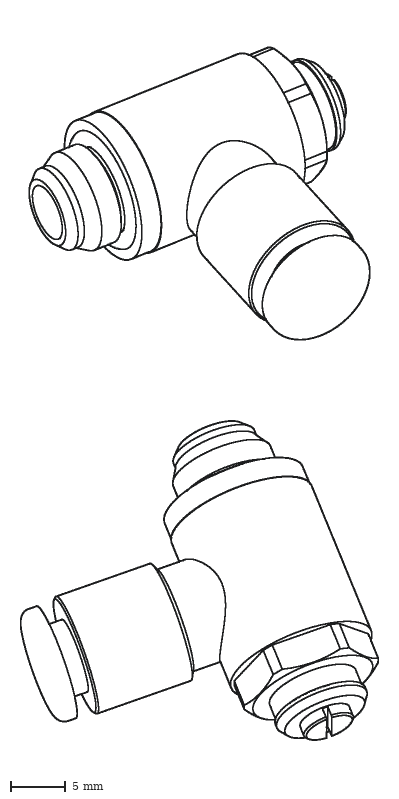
import cadquery as cq
import math


tip_diameter = 6.52
pilot_diameter = 8.1
thread_diameter = 9.73
undercut_diameter = 8.4
pilot_start = 0.85
pilot_end = 1.55
thread_start = 2.95
thread_end = 5.05
undercut_start = 5.4
bore_diameter = 5.3

seal_outer_diameter = 11.8
seal_section_radius = (seal_outer_diameter - undercut_diameter) / 4
seal_bottom = 5.45

base_diameter = 13.8
body_diameter = 14.0
base_start = 6.03
body_start = 8.1
body_end = 23.6
bore_depth = body_start

hex_across_flats = 12.0
hex_corner_diameter = 13.3
hex_top_diameter = 11.87
hex_chamfer_start = 26.2
hex_end = 26.6

cap_diameter = 8.6
collar_diameter = 9.0
collar_top_diameter = 7.9
collar_start = 28.55
collar_chamfer_start = 28.95
collar_end = 29.73
screw_diameter = 4.9
screw_end = 30.9
screw_chamfer = 0.2
slot_width = 0.53
slot_floor = 29.82

branch_y = 15.82
branch_neck_diameter = 10.0
sleeve_diameter = 11.5
sleeve_start = 9.58
sleeve_end = 19.45
sleeve_cone_end = 9.98
sleeve_end_chamfer = 0.2
release_neck_diameter = 7.1
release_diameter = 11.0
release_start = 21.25
overall_width = 30.0
release_end = overall_width - body_diameter / 2
release_round = 1.0


def cylinder_y(diameter, start, end):
    """Cylinder on the main axis between two Y positions."""
    profile = cq.Workplane("XZ", origin=(0, start, 0)).circle(diameter / 2)
    return profile.extrude(start - end)


def cylinder_x(diameter, start, end):
    """Cylinder on the branch axis between two X positions."""
    profile = cq.Workplane("YZ", origin=(start, branch_y, 0)).circle(diameter / 2)
    return profile.extrude(end - start)


def revolve_y(sections):
    """Solid of revolution about Y through (diameter, Y position) pairs."""
    rim = [(diameter / 2, y) for diameter, y in sections]
    outline = [(0, sections[0][1])] + rim + [(0, sections[-1][1])]
    return cq.Workplane("XY").polyline(outline).close().revolve(360, (0, 0), (0, 1))


def make_spigot():
    return revolve_y([
        (tip_diameter, 0),
        (pilot_diameter, pilot_start),
        (pilot_diameter, pilot_end),
        (thread_diameter, thread_start),
        (thread_diameter, thread_end),
        (undercut_diameter, undercut_start),
        (undercut_diameter, body_start),
    ])


def make_seal():
    section_x = seal_outer_diameter / 2 - seal_section_radius
    section_y = seal_bottom + seal_section_radius
    section = cq.Workplane("XY").center(section_x, section_y).circle(seal_section_radius)
    return section.revolve(360, (-section_x, 0), (-section_x, 1))


def make_hexagon():
    corner_to_corner = hex_across_flats / math.cos(math.pi / 6)
    prism = cq.Workplane("XZ", origin=(0, body_end, 0)).polygon(6, corner_to_corner)
    envelope = revolve_y([
        (hex_corner_diameter, body_end),
        (hex_corner_diameter, hex_chamfer_start),
        (hex_top_diameter, hex_end),
    ])
    return prism.extrude(body_end - hex_end).intersect(envelope)


def make_cap():
    return revolve_y([
        (cap_diameter, hex_end),
        (cap_diameter, collar_start),
        (collar_diameter, collar_start),
        (collar_diameter, collar_chamfer_start),
        (collar_top_diameter, collar_end),
    ])


def make_screw():
    screw = cylinder_y(screw_diameter, collar_end, screw_end).faces(">Y").chamfer(screw_chamfer)
    slot_depth = screw_end - slot_floor
    slot = cq.Workplane("XY").box(slot_width, slot_depth, screw_diameter)
    return screw.cut(slot.translate((0, slot_floor + slot_depth / 2, 0)))


def make_branch():
    neck = cylinder_x(branch_neck_diameter, 0, sleeve_start)
    cone = cq.Workplane("YZ", origin=(sleeve_start, branch_y, 0)).circle(branch_neck_diameter / 2)
    cone = cone.workplane(offset=sleeve_cone_end - sleeve_start).circle(sleeve_diameter / 2).loft()
    sleeve = cylinder_x(sleeve_diameter, sleeve_cone_end, sleeve_end)
    sleeve = sleeve.faces(">X").chamfer(sleeve_end_chamfer)
    release_neck = cylinder_x(release_neck_diameter, sleeve_end, release_start)
    release = cylinder_x(release_diameter, release_start, release_end)
    release = release.faces(">X").edges().fillet(release_round)
    return neck.union(cone).union(sleeve).union(release_neck).union(release)


base = cylinder_y(base_diameter, base_start, body_start)
body = cylinder_y(body_diameter, body_start, body_end)
result = body.union(make_branch()).union(base).union(make_spigot()).union(make_seal())
result = result.union(make_hexagon()).union(make_cap()).union(make_screw())
result = result.cut(cylinder_y(bore_diameter, 0, bore_depth))